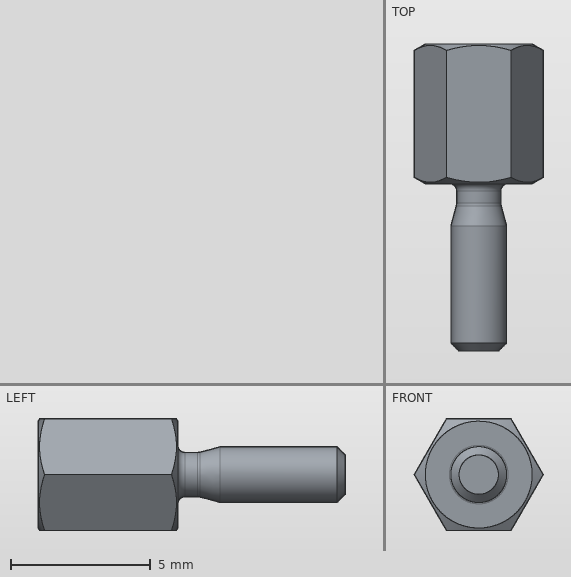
import cadquery as cq
import math

total_length = 11.0
hex_length = 5.0
hex_across_flats = 4.0
stud_length = total_length - hex_length

end_face_diameter = 3.83
hex_chamfer_angle = 30.0

stud_diameter = 2.0
neck_diameter = 1.6
neck_root_fillet = 0.25
neck_blend_radius = 0.4
taper_angle = 15.0
taper_end = 1.51
tip_chamfer = 0.3

hex_across_corners = hex_across_flats / math.cos(math.radians(30))
stud_radius = stud_diameter / 2
neck_radius = neck_diameter / 2


def make_hexagon():
    """Hexagonal body from y = 0 to hex_length, corners on the X axis."""
    prism = (
        cq.Workplane("XZ")
        .polygon(6, hex_across_corners)
        .extrude(-hex_length)
    )
    corner_radius = hex_across_corners / 2
    face_radius = end_face_diameter / 2
    chamfer_depth = (corner_radius - face_radius) * math.tan(math.radians(hex_chamfer_angle))
    envelope = (
        cq.Workplane("XY")
        .polyline([
            (0, 0),
            (face_radius, 0),
            (corner_radius, chamfer_depth),
            (corner_radius, hex_length - chamfer_depth),
            (face_radius, hex_length),
            (0, hex_length),
        ])
        .close()
        .revolve(360, (0, 0, 0), (0, 1, 0))
    )
    return prism.intersect(envelope)


def make_stud():
    """Revolved stud: filleted root, neck, blended taper, shank and chamfered tip."""
    taper = math.radians(taper_angle)
    taper_length = (stud_radius - neck_radius) / math.tan(taper)
    neck_corner = -taper_end + taper_length
    tangent_length = neck_blend_radius * math.tan(taper / 2)
    blend_start = neck_corner + tangent_length
    blend_end = (
        neck_radius + tangent_length * math.sin(taper),
        neck_corner - tangent_length * math.cos(taper),
    )
    return (
        cq.Workplane("XY")
        .moveTo(0, 0)
        .lineTo(neck_radius + neck_root_fillet, 0)
        .radiusArc((neck_radius, -neck_root_fillet), -neck_root_fillet)
        .lineTo(neck_radius, blend_start)
        .radiusArc(blend_end, -neck_blend_radius)
        .lineTo(stud_radius, -taper_end)
        .lineTo(stud_radius, -stud_length + tip_chamfer)
        .lineTo(stud_radius - tip_chamfer, -stud_length)
        .lineTo(0, -stud_length)
        .close()
        .revolve(360, (0, 0, 0), (0, 1, 0))
    )


result = make_hexagon().union(make_stud())